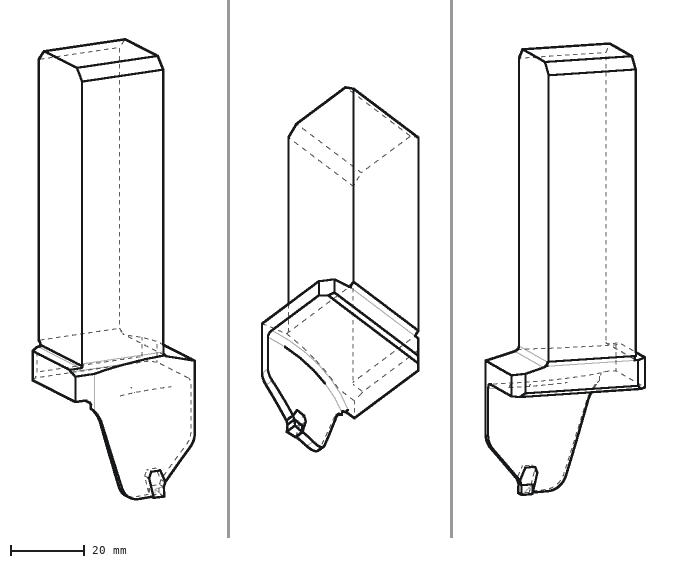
import cadquery as cq
import math


shank_size = 25.0
shank_top = 92.2
shank_top_chamfer = 3.1

flange_left = 1.1
flange_right = 28.65
flange_front = -4.07
flange_back = 34.3
flange_front_height = 8.3
flange_slope = math.radians(15.0)
right_edge_height = 7.2
back_edge_height = 5.8
flange_corner_chamfer = 3.0
flange_bottom_chamfer = 1.2

shank_fillet = 1.5
front_blend_width = 0.75
front_blend_height = 0.4
blend_zone_top = 10.0

arc_centre_y = 24.8
inner_arc_x = 22.7
inner_radius = 52.0
outer_arc_x = 25.3
outer_radius = 80.0
inner_centre_x = inner_arc_x + inner_radius
outer_centre_x = outer_arc_x + outer_radius
root_fillet = 1.5

blade_bottom = -31.0
blade_back_knee = (flange_back, -16.8)
blade_nose_radius = 6.0
blade_back_radius = 6.0
blade_front_root = (-0.7, 0)
blade_front_neck_y = 0.6
blade_front_neck_bottom = -2.4
blade_front_curve = (2.8, -4.5)
blade_front_upper = (4.3, -6.8)
blade_front_lower = (13.0, blade_bottom)

insert_bottom = -31.4
insert_edge_y = 25.05
insert_heel_y = 21.9
insert_shoulder = (25.5, -27.4)
insert_head_top = -28.7
insert_top = -23.9
insert_top_back_y = 23.9
insert_top_front_y = 21.1
insert_front_corner = (20.4, -25.6)
insert_overhang = 0.3


def slab_yz(points):
    """Prism with the given YZ outline, running through the full width of the tool in X."""
    return cq.Workplane("YZ").polyline(points).close().extrude(flange_right)


def space_above_slope(wall, edge, edge_height):
    """Outline of the space over a flange slope that falls away from a shank wall.

    The corner between wall and slope is rounded with an arc tangent to both.
    """
    wall_height = edge_height + (edge - wall) * math.tan(flange_slope)
    arc_angle = math.pi / 2 - flange_slope
    tangent_length = shank_fillet * math.tan(arc_angle / 2)
    arc_centre = (wall + shank_fillet, wall_height + tangent_length)
    middle_angle = math.pi + arc_angle / 2
    arc_middle = (
        arc_centre[0] + shank_fillet * math.cos(middle_angle),
        arc_centre[1] + shank_fillet * math.sin(middle_angle),
    )
    arc_end = (
        wall + tangent_length * math.cos(flange_slope),
        wall_height - tangent_length * math.sin(flange_slope),
    )
    return (
        cq.Sketch()
        .segment((wall, blend_zone_top), (wall, arc_centre[1]))
        .arc((wall, arc_centre[1]), arc_middle, arc_end)
        .segment(arc_end, (edge, edge_height))
        .segment((edge, edge_height), (edge, blend_zone_top))
        .close()
        .assemble()
    )


def space_above_front():
    """Outline of the space over the flat front ledge, with a low blend arc against the shank."""
    blend_radius = (front_blend_width**2 + front_blend_height**2) / (2 * front_blend_height)
    blend_end = (0, flange_front_height + front_blend_height)
    return (
        cq.Workplane("YZ")
        .moveTo(flange_front, blend_zone_top)
        .lineTo(flange_front, flange_front_height)
        .lineTo(-front_blend_width, flange_front_height)
        .radiusArc(blend_end, -blend_radius)
        .lineTo(0, blend_zone_top)
        .close()
        .extrude(flange_right)
    )


def make_flange():
    width = flange_right - flange_left
    length = flange_back - flange_front
    flange = cq.Workplane("XY").box(width, length, blend_zone_top, centered=False)
    flange = flange.translate((flange_left, flange_front, 0))
    flange = flange.edges("|Z and <X").chamfer(flange_corner_chamfer)
    flange = flange.faces("<X").edges("<Z").chamfer(flange_bottom_chamfer)
    above_right = (
        cq.Workplane("XZ", origin=(0, flange_back, 0))
        .placeSketch(space_above_slope(shank_size, flange_right, right_edge_height))
        .extrude(length)
    )
    above_back = (
        cq.Workplane("YZ")
        .placeSketch(space_above_slope(shank_size, flange_back, back_edge_height))
        .extrude(flange_right)
    )
    return flange.cut(above_right).cut(above_back).cut(space_above_front())


def make_shank():
    """Square bar, chamfered at its top and undercut by an arc where it overhangs the flange."""
    overhang_height = math.sqrt(shank_fillet**2 - (shank_fillet - flange_left) ** 2)
    return (
        cq.Workplane("XZ")
        .moveTo(flange_left, flange_bottom_chamfer)
        .lineTo(flange_left, flange_front_height)
        .radiusArc((0, flange_front_height + overhang_height), -shank_fillet)
        .lineTo(0, shank_top - shank_top_chamfer)
        .lineTo(shank_top_chamfer, shank_top)
        .lineTo(shank_size - shank_top_chamfer, shank_top)
        .lineTo(shank_size, shank_top - shank_top_chamfer)
        .lineTo(shank_size, flange_bottom_chamfer)
        .close()
        .extrude(-shank_size)
    )


def make_blade_outline():
    profile = (
        cq.Workplane("YZ")
        .moveTo(flange_back, 0)
        .lineTo(*blade_back_knee)
        .lineTo(*insert_shoulder)
        .lineTo(insert_heel_y, blade_bottom)
        .lineTo(*blade_front_lower)
        .lineTo(*blade_front_upper)
        .threePointArc(blade_front_curve, (blade_front_neck_y, blade_front_neck_bottom))
        .lineTo(blade_front_neck_y, -root_fillet)
        .radiusArc(blade_front_root, root_fillet)
        .close()
        .extrude(flange_right)
    )
    nose = cq.selectors.NearestToPointSelector((flange_right / 2, *blade_front_lower))
    knee = cq.selectors.NearestToPointSelector((flange_right / 2, *blade_back_knee))
    return profile.edges(nose).fillet(blade_nose_radius).edges(knee).fillet(blade_back_radius)


def make_outer_cylinder():
    """Cylinder that hollows the +X side of the blade and flange."""
    height = shank_top - insert_bottom
    return (
        cq.Workplane("XY", origin=(outer_centre_x, arc_centre_y, insert_bottom))
        .circle(outer_radius)
        .extrude(height)
    )


def make_inner_cylinder():
    """Cylinder that bounds the -X side of the blade, flared where it meets the flange."""
    return (
        cq.Workplane("XZ", origin=(inner_centre_x, arc_centre_y, 0))
        .moveTo(0, insert_bottom)
        .lineTo(inner_radius, insert_bottom)
        .lineTo(inner_radius, -root_fillet)
        .radiusArc((inner_radius + root_fillet, 0), root_fillet)
        .lineTo(0, 0)
        .close()
        .revolve(360, (0, 0, 0), (0, 1, 0))
    )


def make_insert_seat():
    return slab_yz(
        [
            (insert_heel_y, insert_bottom),
            (insert_edge_y, insert_bottom),
            (insert_edge_y, insert_head_top),
            insert_shoulder,
            (insert_top_back_y, insert_top),
            (insert_top_front_y, insert_top),
            insert_front_corner,
        ]
    )


def make_insert():
    """Insert body flush with the blade, with a head that widens towards its cutting edge."""
    body = make_insert_seat().intersect(make_inner_cylinder()).cut(make_outer_cylinder())
    head_left = inner_arc_x - insert_overhang
    head_right = outer_arc_x + insert_overhang
    plan = (
        cq.Workplane("XY", origin=(0, 0, insert_bottom))
        .moveTo(head_left, insert_edge_y)
        .lineTo(head_right, insert_edge_y)
        .lineTo(outer_arc_x, insert_heel_y)
        .lineTo(inner_arc_x, insert_heel_y)
        .close()
        .extrude(insert_head_top - insert_bottom)
    )
    flare = (
        cq.Workplane("XZ")
        .moveTo(head_left, insert_bottom)
        .lineTo(head_right, insert_bottom)
        .lineTo(outer_arc_x, insert_head_top)
        .lineTo(inner_arc_x, insert_head_top)
        .close()
        .extrude(-insert_edge_y)
    )
    head = plan.intersect(flare).intersect(make_insert_seat())
    return body.union(head)


def make_holder():
    body = make_flange().union(make_shank())
    blade = make_blade_outline().intersect(make_inner_cylinder())
    return body.union(blade).cut(make_outer_cylinder()).cut(make_insert_seat())


holder = make_holder()
insert = make_insert()
result = cq.Compound.makeCompound([holder.val(), insert.val()])